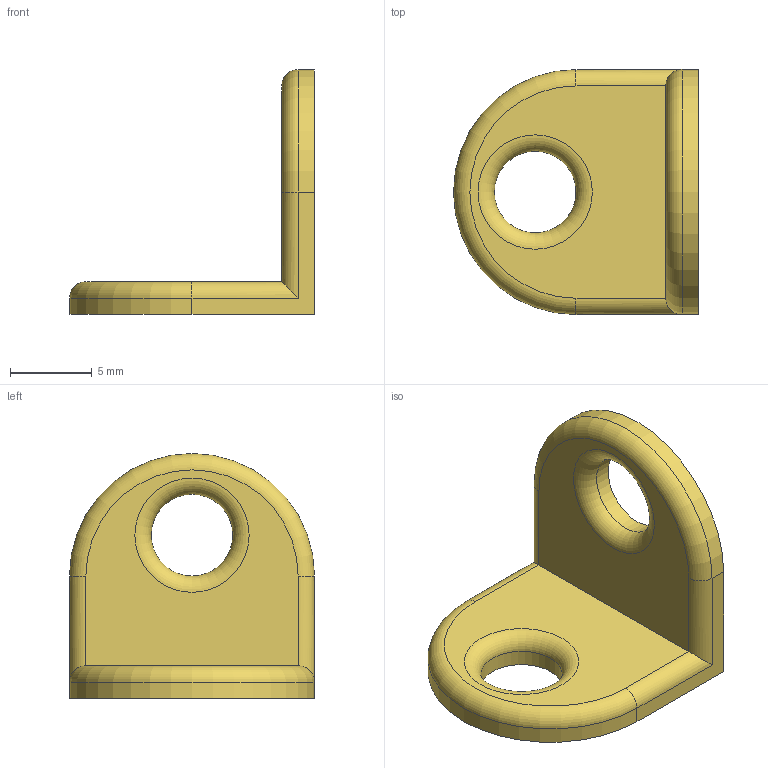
import cadquery as cq

width = 15.0
leg_length = 15.0
thickness = 2.0
hole_diameter = 5.0
hole_end_margin = 5.0
edge_radius = 1.0

end_radius = width / 2
straight_length = leg_length - end_radius
hole_position = leg_length - hole_end_margin


def horizontal_leg():
    """Leg lying on Z = 0, from the outer corner at X = 0 to a round tip at -X."""
    plate = (
        cq.Workplane("XY")
        .moveTo(0, -end_radius)
        .lineTo(-straight_length, -end_radius)
        .threePointArc((-leg_length, 0), (-straight_length, end_radius))
        .lineTo(0, end_radius)
        .close()
        .extrude(thickness)
    )
    hole = (
        cq.Workplane("XY")
        .center(-hole_position, 0)
        .circle(hole_diameter / 2)
        .extrude(thickness)
    )
    drilled = plate.cut(hole)
    return drilled.faces(">Z").edges("not(>X)").fillet(edge_radius)


def upright_leg():
    """The same leg turned upright, tip at +Z, with its rounded face towards -X."""
    standing = horizontal_leg().rotate((0, 0, 0), (0, 1, 0), 90)
    return standing.mirror("YZ")


result = horizontal_leg().union(upright_leg()).clean()